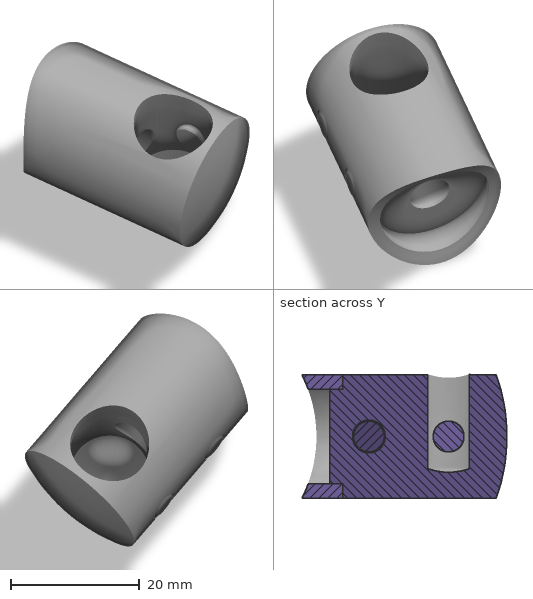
import cadquery as cq
import math

total_length = 33.18
diameter = 22.0
radius = diameter / 2

cap_length = 7.2
saddle_radius = 21.2
cap_bore_diameter = 18.02

spigot_end_x = 5.15
bolt_hole_diameter = 6.5
dome_height = 2.2
dome_base_x = total_length - dome_height
bar_hole_diameter = 12.28
bar_hole_x = 23.6
bar_hole_shoulder_z = -4.98
drill_tip_angle = 118.0

screw_diameter = 5.0
screw_length = 5.9
screw_chamfer_length = 0.3
screw_tip_chamfer_depth = 0.15
screw_head_chamfer_depth = 0.63
screw_positions_x = [11.2, bar_hole_x]


def rod_along_x(rod_diameter, start_x, end_x):
    """Solid rod centred on the X axis."""
    return cq.Workplane("YZ", origin=(start_x, 0, 0)).circle(rod_diameter / 2).extrude(end_x - start_x)


def rod_along_y(rod_diameter, center_x, start_y, end_y):
    """Solid rod parallel to Y at height Z = 0."""
    return (
        cq.Workplane("XZ", origin=(center_x, end_y, 0))
        .circle(rod_diameter / 2)
        .extrude(end_y - start_y)
    )


def make_saddle_cap():
    """Bored ring whose -X end is hollowed by a tube-shaped saddle."""
    saddle_axis_x = -math.sqrt(saddle_radius**2 - radius**2)
    saddle_tube = rod_along_y(2 * saddle_radius, saddle_axis_x, -diameter, diameter)
    return (
        rod_along_x(diameter, 0, cap_length)
        .cut(saddle_tube)
        .cut(rod_along_x(cap_bore_diameter, 0, cap_length))
    )


def make_domed_barrel():
    """Cylinder with a spherical cap on its +X end."""
    dome_radius = (radius**2 + dome_height**2) / (2 * dome_height)
    dome_center_x = total_length - dome_radius
    half_angle = math.asin(radius / dome_radius) / 2
    dome_mid = (dome_center_x + dome_radius * math.cos(half_angle), dome_radius * math.sin(half_angle))
    return (
        cq.Workplane("XY")
        .moveTo(cap_length, 0)
        .lineTo(cap_length, radius)
        .lineTo(dome_base_x, radius)
        .threePointArc(dome_mid, (total_length, 0))
        .close()
        .revolve(360, (0, 0, 0), (1, 0, 0))
    )


def make_bar_hole():
    """Blind hole from the top, with a conical drill-point bottom."""
    hole_radius = bar_hole_diameter / 2
    tip_depth = hole_radius / math.tan(math.radians(drill_tip_angle / 2))
    return (
        cq.Workplane("XZ", origin=(bar_hole_x, 0, 0))
        .moveTo(0, bar_hole_shoulder_z - tip_depth)
        .lineTo(hole_radius, bar_hole_shoulder_z)
        .lineTo(hole_radius, diameter)
        .lineTo(0, diameter)
        .close()
        .revolve(360, (0, 0, 0), (0, 1, 0))
    )


def make_holder():
    """Domed barrel and spigot with the bar hole, the bolt hole into it and the screw holes."""
    holder = (
        make_domed_barrel()
        .union(rod_along_x(cap_bore_diameter, spigot_end_x, cap_length))
        .cut(make_bar_hole())
        .cut(rod_along_x(bolt_hole_diameter, spigot_end_x, bar_hole_x))
    )
    for screw_x in screw_positions_x:
        holder = holder.cut(rod_along_y(screw_diameter, screw_x, radius - screw_length, diameter))
    return holder


def make_set_screw(center_x):
    """Headless screw chamfered at both ends, its outer end level with the barrel's +Y side."""
    tip_y = radius - screw_length
    return (
        cq.Workplane("XY")
        .moveTo(0, tip_y)
        .lineTo(screw_diameter / 2 - screw_tip_chamfer_depth, tip_y)
        .lineTo(screw_diameter / 2, tip_y + screw_chamfer_length)
        .lineTo(screw_diameter / 2, radius - screw_chamfer_length)
        .lineTo(screw_diameter / 2 - screw_head_chamfer_depth, radius)
        .lineTo(0, radius)
        .close()
        .revolve(360, (0, 0, 0), (0, 1, 0))
        .translate((center_x, 0, 0))
    )


saddle_cap = make_saddle_cap()
holder = make_holder()
set_screws = [make_set_screw(screw_x) for screw_x in screw_positions_x]

result = cq.Compound.makeCompound(
    [saddle_cap.val(), holder.val(), *[screw.val() for screw in set_screws]]
)